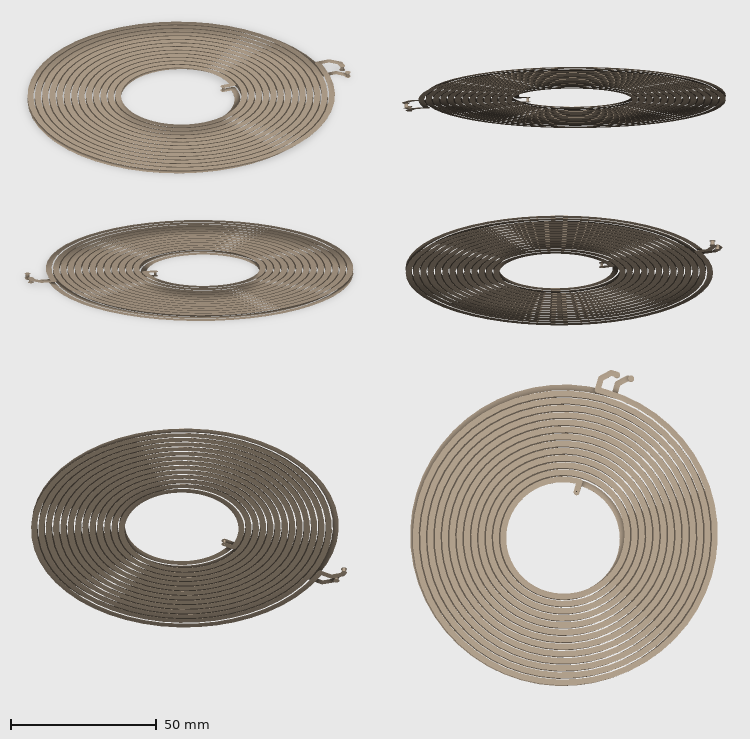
import cadquery as cq
import math


coil_diameter = 105.3
total_height = 1.6
copper = 0.035
top_z = total_height - copper

track_width = 2.0
half_width = track_width / 2
turns = 13
first_arc_radius = coil_diameter / 2 - half_width
inner_radius = 19.8
pitch = (first_arc_radius - inner_radius) / (turns - 1 / 4)
outer_radius = first_arc_radius + pitch / 4

lead_offset = 3.0
upper_terminal = (43.3, 40.5)
lower_terminal = (46.9, 37.1)
upper_lead_y = 42.0
lower_lead_y = 37.9
pad_diameter = 2.0
post_diameter = 1.3

via_radius = 16.2
via_diameter = 0.8
via_hole = 0.4


def from_diagonal(along, across):
    """Point given by its distances along the X = Y line and to the left of it."""
    return ((along - across) / math.sqrt(2), (along + across) / math.sqrt(2))


def spiral_point(turned, side=0.0):
    """Point on the upper spiral, turned clockwise from the diagonal and shifted outward by side."""
    radius = outer_radius - pitch * turned / (2 * math.pi) + side
    return from_diagonal(radius * math.cos(turned), -radius * math.sin(turned))


def spiral_track():
    """Spiral track on Z = 0: a short straight start, then half circles of shrinking radius."""
    quarter_turns = [math.pi / 2 * i for i in range(4 * turns + 1)]
    outer_edge = [spiral_point(turned, half_width) for turned in quarter_turns]
    inner_edge = [spiral_point(turned, -half_width) for turned in reversed(quarter_turns)]

    outline = cq.Workplane("XY").moveTo(*from_diagonal(outer_radius + half_width, lead_offset))
    outline = outline.lineTo(*outer_edge[0])
    for middle, end in zip(outer_edge[1::2], outer_edge[2::2]):
        outline = outline.threePointArc(middle, end)
    outline = outline.lineTo(*inner_edge[0])
    for middle, end in zip(inner_edge[1::2], inner_edge[2::2]):
        outline = outline.threePointArc(middle, end)
    outline = outline.lineTo(*from_diagonal(outer_radius - half_width, lead_offset))
    return outline.close().extrude(copper)


def disc(center, diameter, bottom, height):
    return cq.Workplane("XY", origin=(*center, bottom)).circle(diameter / 2).extrude(height)


def straight_track(points, bottom):
    """Track along straight runs between the points, rounded at every point."""
    track = disc(points[0], track_width, bottom, copper)
    for (x1, y1), (x2, y2) in zip(points, points[1:]):
        length = math.hypot(x2 - x1, y2 - y1)
        turn = math.degrees(math.atan2(y2 - y1, x2 - x1))
        run = (
            cq.Workplane("XY")
            .rect(length, track_width)
            .extrude(copper)
            .rotate((0, 0, 0), (0, 0, 1), turn)
            .translate(((x1 + x2) / 2, (y1 + y2) / 2, bottom))
        )
        track = track.union(run).union(disc((x2, y2), track_width, bottom, copper))
    return track


def lead(offset, lead_y, terminal, bottom):
    """Outer lead: diagonally away from the coil, along X, then diagonally down to its terminal."""
    rise = offset * math.sqrt(2)
    start = from_diagonal(outer_radius, offset)
    first_bend = (lead_y - rise, lead_y)
    second_bend = (terminal[0] - (lead_y - terminal[1]), lead_y)
    return straight_track([start, first_bend, second_bend, terminal], bottom)


def terminal_post(center):
    """Solid post through both layers with a round pad on each."""
    post = disc(center, post_diameter, 0, total_height)
    for bottom in (0, top_z):
        post = post.union(disc(center, pad_diameter, bottom, copper))
    return post


via_center = from_diagonal(via_radius, 0)

upper_layer = spiral_track().union(straight_track([spiral_point(2 * math.pi * turns), via_center], 0))
lower_layer = upper_layer.rotate((0, 0, 0), (1, 1, 0), 180).translate((0, 0, copper))
upper_layer = upper_layer.translate((0, 0, top_z))

upper_layer = upper_layer.union(lead(lead_offset, upper_lead_y, upper_terminal, top_z))
lower_layer = lower_layer.union(lead(-lead_offset, lower_lead_y, lower_terminal, 0))

result = (
    upper_layer
    .union(disc(via_center, via_diameter, 0, total_height))
    .union(lower_layer)
    .union(terminal_post(upper_terminal))
    .union(terminal_post(lower_terminal))
    .cut(disc(via_center, via_hole, 0, total_height))
)